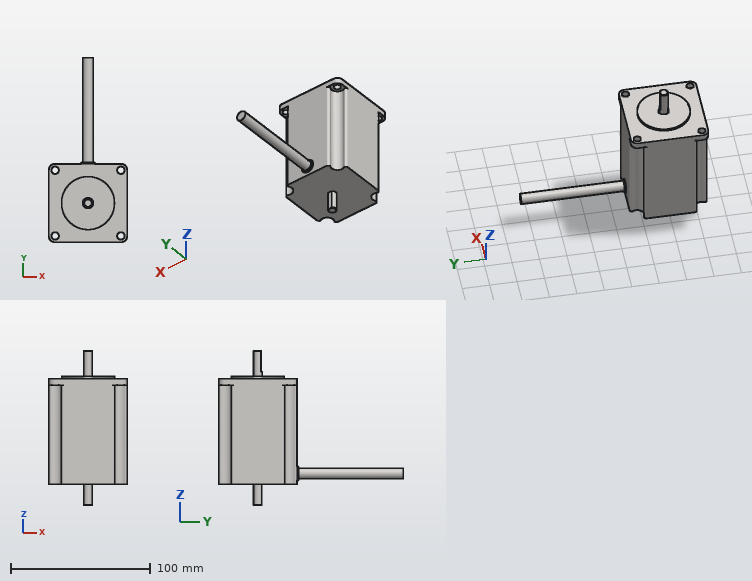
import cadquery as cq


frame_width = 56.4
half_width = frame_width / 2
flange_thickness = 4.8
flange_corner_radius = 4.5
bolt_spacing = 47.14
bolt_hole_diameter = 5.2
pilot_diameter = 38.1
pilot_height = 1.6
shaft_recess_diameter = 7.6
shaft_recess_depth = pilot_height

body_length = 76.0
side_flat_half_width = 18.0
scallop_radius = 5.2
body_edge_radius = 0.7

shaft_diameter = 6.35
front_shaft_length = 20.0
front_flat_length = 15.0
front_flat_offset = 2.4
rear_shaft_length = 15.0
rear_flat_offset = 2.8
shaft_chamfer = 0.5

cable_diameter = 7.8
cable_length = 76.2
cable_height = 7.9
collar_diameter = 10.2
collar_length = 1.1
collar_chamfer = 0.6


def bolt_pattern_cylinders(radius, start_z, end_z):
    """One cylinder on each of the four bolt axes."""
    return (
        cq.Workplane("XY")
        .workplane(offset=start_z)
        .rect(bolt_spacing, bolt_spacing, forConstruction=True)
        .vertices()
        .circle(radius)
        .extrude(end_z - start_z)
    )


def make_flange():
    plate = (
        cq.Workplane("XY")
        .rect(frame_width, frame_width)
        .extrude(-flange_thickness)
        .edges("|Z")
        .fillet(flange_corner_radius)
    )
    pilot = cq.Workplane("XY").circle(pilot_diameter / 2).extrude(pilot_height)
    bolt_holes = bolt_pattern_cylinders(bolt_hole_diameter / 2, 0, -flange_thickness)
    recess = (
        cq.Workplane("XY")
        .workplane(offset=pilot_height)
        .circle(shaft_recess_diameter / 2)
        .extrude(-shaft_recess_depth)
    )
    return plate.union(pilot).cut(bolt_holes).cut(recess)


def make_body():
    """Square body with chamfered corners, each scalloped around a bolt axis and rounded off."""
    body = (
        cq.Workplane("XY")
        .workplane(offset=-flange_thickness)
        .rect(frame_width, frame_width)
        .extrude(flange_thickness - body_length)
        .edges("|Z")
        .chamfer(half_width - side_flat_half_width)
    )
    scallops = bolt_pattern_cylinders(scallop_radius, -flange_thickness, -body_length)
    return body.cut(scallops).edges("|Z").fillet(body_edge_radius)


def make_shaft(root_z, tip_z, flat_start_z, flat_offset):
    """Round shaft from root_z to tip_z, chamfered at the tip, with a flat on its +Y side."""
    tip_selector = ">Z" if tip_z > root_z else "<Z"
    shaft = (
        cq.Workplane("XY")
        .workplane(offset=root_z)
        .circle(shaft_diameter / 2)
        .extrude(tip_z - root_z)
        .faces(tip_selector)
        .chamfer(shaft_chamfer)
    )
    flat_cutter = (
        cq.Workplane("XY")
        .workplane(offset=flat_start_z)
        .center(0, flat_offset + shaft_diameter / 2)
        .rect(shaft_diameter, shaft_diameter)
        .extrude(tip_z - flat_start_z)
    )
    return shaft.cut(flat_cutter)


def make_front_shaft():
    flat_start = front_shaft_length - front_flat_length
    return make_shaft(0, front_shaft_length, flat_start, front_flat_offset)


def make_rear_shaft():
    tip = -body_length - rear_shaft_length
    return make_shaft(-body_length, tip, -body_length, rear_flat_offset)


def make_cable():
    exit_plane = (
        cq.Workplane("XZ")
        .workplane(offset=-half_width)
        .center(0, cable_height - body_length)
    )
    cable = exit_plane.circle(cable_diameter / 2).extrude(-cable_length)
    collar = (
        exit_plane.circle(collar_diameter / 2)
        .extrude(-collar_length)
        .faces(">Y")
        .chamfer(collar_chamfer)
    )
    return collar.union(cable)


result = (
    make_body()
    .union(make_flange())
    .union(make_front_shaft())
    .union(make_rear_shaft())
    .union(make_cable())
)